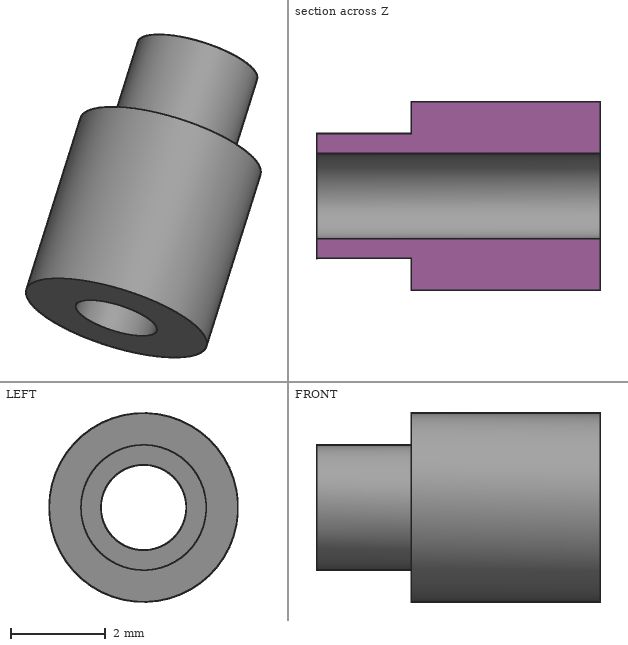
import cadquery as cq

total_length = 6.0
body_diameter = 4.0
spigot_diameter = 2.65
bore_diameter = 1.8
spigot_length = total_length / 3
body_length = total_length - spigot_length

spigot = cq.Workplane("YZ").circle(spigot_diameter / 2).extrude(spigot_length)

bushing = spigot.faces(">X").workplane().circle(body_diameter / 2).extrude(body_length)

bore = cq.Workplane("YZ").circle(bore_diameter / 2).extrude(total_length)

result = bushing.cut(bore)